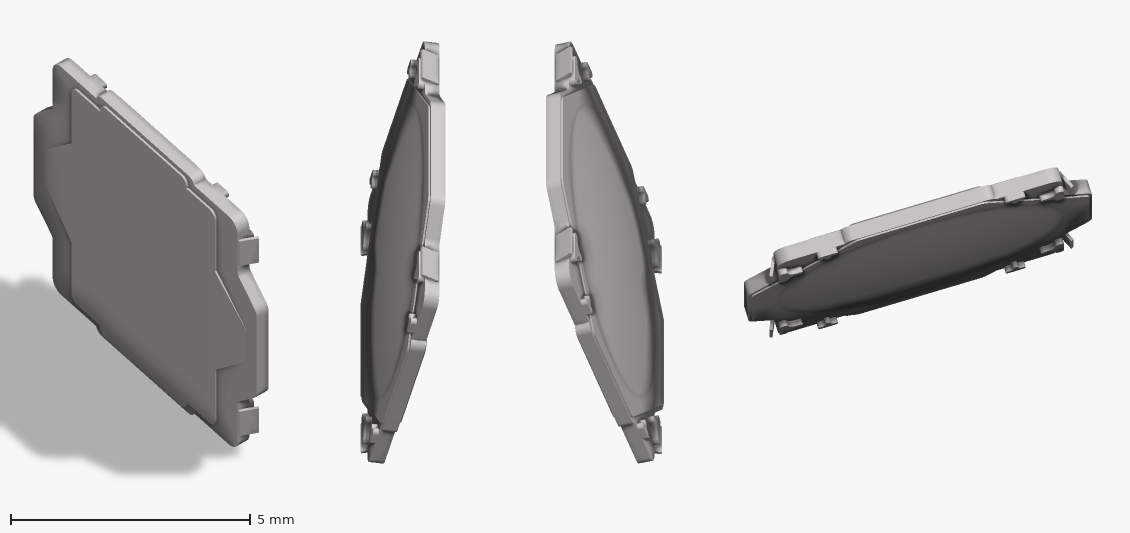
import cadquery as cq
import math


pad_thickness = 0.05
plate_back = 0.37
sheet_back = 0.405
foot_back = 0.495
dome_crown = 0.6

wing_half_x = 3.75
body_half_x = 3.105
body_half_z = 3.37
plate_tab_half_x = 1.65
plate_height = 7.03
plate_half_z = plate_height / 2
wing_inner_half_z = 3.075
wing_diagonal = 4.99
plate_corner_radius = 0.29
plate_tab_radius = 0.195
wing_root_radius = 0.195

pad_half_x = 2.41
pad_half_z = 3.16
pad_tab_half_x = 1.455
pad_tab_half_z = 3.4
pad_radius = 0.195
taper_half_x = 3.42
taper_inner_half_z = 2.4
taper_diagonal = 3.86
taper_corner_radius = 0.11

sheet_half_x = 3.68
sheet_half_z = 3.465
sheet_diagonal = 4.845
sheet_corner_radius = 0.225
dome_radius = 24.75

side_foot = dict(length=0.74, bar=0.19, reach=0.51, nub_radius=0.075, fillet=0.195)
side_foot_z = 2.46
end_foot = dict(length=0.435, bar=0.16, reach=0.36, nub_radius=0.06, fillet=0.075)
end_foot_x = 2.05

tab_z = 2.51
tab_width = 0.72
tab_thickness = 0.07
tab_angle = math.radians(25)
tab_tip = (3.32, 0.46)
tab_bend_y = 0.12
tab_root_y = 0.07
tab_embed = 0.04


def slab(outline, y_start, y_end):
    """Extrude an XZ outline between two depth levels."""
    return outline.extrude(y_start - y_end).translate((0, y_start, 0))


def rounded_rectangle(half_x, half_z, radius, y_start, y_end):
    outline = cq.Workplane("XZ").rect(2 * half_x, 2 * half_z)
    return slab(outline, y_start, y_end).edges("|Y").fillet(radius)


def rounded_octagon(half_x, half_z, diagonal, radius, y_start, y_end):
    """Rectangle whose corners are cut at 45 degrees where |x| + |z| = diagonal."""
    cut_x = diagonal - half_z
    cut_z = diagonal - half_x
    corners = [
        (half_x, cut_z), (cut_x, half_z), (-cut_x, half_z), (-half_x, cut_z),
        (-half_x, -cut_z), (-cut_x, -half_z), (cut_x, -half_z), (half_x, -cut_z),
    ]
    outline = cq.Workplane("XZ").polyline(corners).close()
    return slab(outline, y_start, y_end).edges("|Y").fillet(radius)


def in_four_quadrants(shape):
    pair = shape.union(shape.mirror("YZ"))
    return pair.union(pair.mirror("XY"))


def base_plate():
    levels = (pad_thickness, plate_back)
    body = rounded_rectangle(body_half_x, body_half_z, plate_corner_radius, *levels)
    wings = rounded_octagon(
        wing_half_x, wing_inner_half_z, wing_diagonal, plate_corner_radius, *levels
    )
    plate = body.union(wings)
    wing_root_z = wing_diagonal - body_half_x
    middle = (pad_thickness + plate_back) / 2
    for x in (-body_half_x, body_half_x):
        for z in (-wing_root_z, wing_root_z):
            root_edge = cq.selectors.NearestToPointSelector((x, middle, z))
            plate = plate.edges(root_edge).fillet(wing_root_radius)
    tabs = rounded_rectangle(plate_tab_half_x, plate_half_z, plate_tab_radius, *levels)
    return plate.union(tabs)


def front_pad():
    levels = (0, pad_thickness)
    pad = rounded_rectangle(pad_half_x, pad_half_z, pad_radius, *levels)
    return pad.union(rounded_rectangle(pad_tab_half_x, pad_tab_half_z, pad_radius, *levels))


def tapered_wings():
    """Side wings that thin out from the pad edge to nothing at their outer ends."""
    wings = rounded_octagon(
        taper_half_x, taper_inner_half_z, taper_diagonal, taper_corner_radius, 0, pad_thickness
    )
    taper = (
        cq.Workplane("XY")
        .moveTo(-taper_half_x, pad_thickness)
        .lineTo(-pad_half_x, 0)
        .lineTo(pad_half_x, 0)
        .lineTo(taper_half_x, pad_thickness)
        .close()
        .extrude(pad_half_z, both=True)
    )
    return wings.intersect(taper)


def dome_sheet():
    return rounded_octagon(
        sheet_half_x, sheet_half_z, sheet_diagonal, sheet_corner_radius, plate_back, sheet_back
    )


def dome():
    """Spherical cap whose rim lies on the back of the dome sheet."""
    height = dome_crown - sheet_back
    rim_radius = math.sqrt(dome_radius**2 - (dome_radius - height) ** 2)
    half_rim = rim_radius / 2
    half_rim_y = dome_crown - dome_radius + math.sqrt(dome_radius**2 - half_rim**2)
    return (
        cq.Workplane("XY")
        .moveTo(0, plate_back)
        .lineTo(rim_radius, plate_back)
        .lineTo(rim_radius, sheet_back)
        .threePointArc((half_rim, half_rim_y), (0, dome_crown))
        .close()
        .revolve(360, (0, 0), (0, 1))
    )


def foot(length, bar, reach, nub_radius, fillet):
    """Foot with its flat side on Z = 0 and its nub pointing to -Z."""
    straight = (length - bar) / 2
    fillet_x = nub_radius + fillet
    fillet_z = -bar - fillet
    arc_mid = fillet * math.sqrt(0.5)
    nub_z = nub_radius - reach
    outline = (
        cq.Workplane("XZ")
        .moveTo(-straight, 0)
        .lineTo(straight, 0)
        .threePointArc((length / 2, -bar / 2), (straight, -bar))
        .lineTo(fillet_x, -bar)
        .threePointArc((fillet_x - arc_mid, fillet_z + arc_mid), (nub_radius, fillet_z))
        .lineTo(nub_radius, nub_z)
        .threePointArc((0, -reach), (-nub_radius, nub_z))
        .lineTo(-nub_radius, fillet_z)
        .threePointArc((arc_mid - fillet_x, fillet_z + arc_mid), (-fillet_x, -bar))
        .lineTo(-straight, -bar)
        .threePointArc((-length / 2, -bar / 2), (-straight, 0))
        .close()
    )
    return slab(outline, plate_back, foot_back)


def feet():
    on_end = foot(**end_foot).translate((end_foot_x, 0, body_half_z))
    on_side = foot(**side_foot).rotate((0, 0, 0), (0, 1, 0), 90)
    on_side = on_side.translate((body_half_x, 0, side_foot_z))
    return in_four_quadrants(on_end.union(on_side))


def spring_tabs():
    """Slanted strips that bend out of the plate sides."""
    slope = math.tan(tab_angle)
    tip_x, tip_y = tab_tip
    bend_x = tip_x - slope * (tip_y - tab_bend_y)
    inner_tip_x = tip_x - tab_thickness * math.cos(tab_angle)
    inner_tip_y = tip_y + tab_thickness * math.sin(tab_angle)
    embed_x = body_half_x - tab_embed
    inner_root_y = inner_tip_y - (inner_tip_x - embed_x) / slope
    tab = (
        cq.Workplane("XY")
        .moveTo(embed_x, tab_root_y)
        .lineTo(body_half_x, tab_root_y)
        .tangentArcPoint((bend_x, tab_bend_y), relative=False)
        .lineTo(tip_x, tip_y)
        .lineTo(inner_tip_x, inner_tip_y)
        .lineTo(embed_x, inner_root_y)
        .close()
        .extrude(tab_width / 2, both=True)
        .translate((0, 0, tab_z))
    )
    return in_four_quadrants(tab)


result = (
    base_plate()
    .union(front_pad())
    .union(tapered_wings())
    .union(dome_sheet())
    .union(dome())
    .union(feet())
    .union(spring_tabs())
)